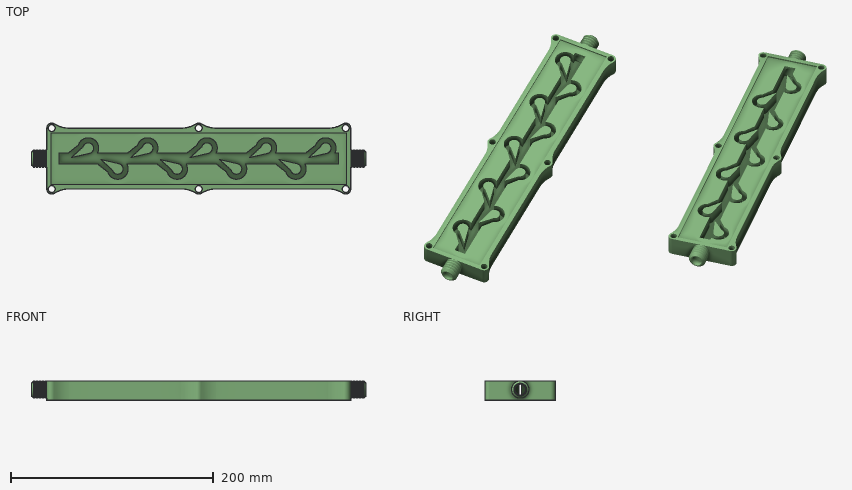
import cadquery as cq
import math

total_length = 330.0
body_length = 299.5
body_width = 60.0
body_height = 19.0

boss_radius = 5.0
hole_diameter = 6.5
boss_blend_length = 17.0
boss_x = body_length / 2 - boss_radius
boss_y = body_width / 2

recess_length = 291.0
recess_width = 50.8
recess_depth = 1.5
recess_floor_z = body_height - recess_depth

channel_length = 275.2
channel_width = 11.2
channel_depth = 12.5
channel_floor_z = recess_floor_z - channel_depth
upper_loop_count = 5
lower_loop_count = 4
first_upper_x = -109.0
last_upper_x = 125.0
loop_pitch = (last_upper_x - first_upper_x) / (upper_loop_count - 1)
lower_loop_shift = 29.0
loop_centre_y = 10.2
loop_width = 5.0
loop_flank_start = 163
loop_flank_slope = 38
island_radius = 5.3
island_flank_start = 165
island_tip_reach = 16.5
island_tip_y = 1.0

port_z = 10.5
thread_radius = 8.5
thread_root_radius = 7.3
thread_pitch = 3.0
thread_count = 5
thread_crest_width = 1.0
port_tip_radius = 6.3
port_tip_length = 2.3
bore_radius = 5.3
port_overlap = 3.3


def box_from(z_bottom, length, width, height):
    return cq.Workplane("XY", origin=(0, 0, z_bottom)).rect(length, width).extrude(height)


def disc(x, y, z_bottom, radius, height):
    return cq.Workplane("XY", origin=(x, y, z_bottom)).circle(radius).extrude(height)


def flared_boss(x, side):
    """Round boss on one long edge, blended into the edge by a concave arc on each side."""
    blend_radius = (boss_blend_length**2 - boss_radius**2) / (2 * boss_radius)
    touch = boss_radius / (blend_radius + boss_radius)
    touch_dx = boss_blend_length * touch
    touch_dy = blend_radius * touch
    slope_angle = math.atan2(blend_radius, boss_blend_length)
    mid_angle = (slope_angle + math.pi / 2) / 2
    mid_dx = boss_blend_length - blend_radius * math.cos(mid_angle)
    mid_dy = blend_radius * (1 - math.sin(mid_angle))

    def point(dx, dy):
        return (x + dx, side * (boss_y + dy))

    outline = (
        cq.Workplane("XY")
        .moveTo(*point(-boss_blend_length, 0))
        .threePointArc(point(-mid_dx, mid_dy), point(-touch_dx, touch_dy))
        .threePointArc(point(0, boss_radius), point(touch_dx, touch_dy))
        .threePointArc(point(mid_dx, mid_dy), point(boss_blend_length, 0))
        .lineTo(*point(boss_blend_length, -boss_radius))
        .lineTo(*point(-boss_blend_length, -boss_radius))
        .close()
    )
    return outline.extrude(body_height)


def make_body():
    body = box_from(0, body_length, body_width, body_height)
    for side in (-1, 1):
        for x in (-boss_x, 0, boss_x):
            body = body.union(flared_boss(x, side))
    full_width = body_width + 2 * boss_radius
    envelope = box_from(0, body_length, full_width, body_height).edges("|Z").fillet(boss_radius)
    return body.intersect(envelope)


def loop_point(x, side, dx, dy):
    """Point given from a loop's centre; dy counts away from the channel's middle line."""
    return (x + dx, side * (loop_centre_y + dy))


def loop_disc(x, side, radius):
    return disc(x, side * loop_centre_y, channel_floor_z, radius, channel_depth)


def channel_prism(points):
    outline = cq.Workplane("XY", origin=(0, 0, channel_floor_z)).polyline(points).close()
    return outline.extrude(channel_depth)


def make_loop(x, side):
    """Round pocket with a straight outer flank that slopes down into the main channel."""
    radius = island_radius + loop_width
    start_angle = math.radians(loop_flank_start)
    start_dx = radius * math.cos(start_angle)
    start_dy = radius * math.sin(start_angle)
    drop = start_dy + loop_centre_y - channel_width / 2
    end_dx = start_dx - drop / math.tan(math.radians(loop_flank_slope))
    tail = channel_prism([
        loop_point(x, side, start_dx, start_dy),
        loop_point(x, side, end_dx, start_dy - drop),
        loop_point(x, side, 0, start_dy - drop),
        loop_point(x, side, 0, start_dy),
    ])
    return tail.union(loop_disc(x, side, radius))


def make_island(x, side):
    """Teardrop: a round end, an inner flank touching it and a steeper outer flank, meeting in a point."""
    tip_dx = -island_tip_reach
    tip_dy = island_tip_y - loop_centre_y
    tip_angle = math.atan2(tip_dy, tip_dx)
    inner_angle = tip_angle + math.acos(island_radius / math.hypot(tip_dx, tip_dy))
    outer_angle = math.radians(island_flank_start)
    outer_end, inner_end = [
        loop_point(x, side, island_radius * math.cos(angle), island_radius * math.sin(angle))
        for angle in (outer_angle, inner_angle)
    ]
    tip = loop_point(x, side, tip_dx, tip_dy)
    centre = loop_point(x, side, 0, 0)
    tail = channel_prism([tip, outer_end, centre, inner_end])
    return tail.union(loop_disc(x, side, island_radius))


def make_channel():
    channel = box_from(channel_floor_z, channel_length, channel_width, channel_depth)
    rows = [(1, upper_loop_count, first_upper_x), (-1, lower_loop_count, first_upper_x + lower_loop_shift)]
    places = [(first_x + index * loop_pitch, side) for side, count, first_x in rows for index in range(count)]
    for x, side in places:
        channel = channel.union(make_loop(x, side))
    for x, side in places:
        channel = channel.cut(make_island(x, side))
    return channel


def make_port():
    """Ringed spigot on the +X end, turned about the port axis."""
    inner_x = body_length / 2 - port_overlap
    tip_x = total_length / 2
    first_x = tip_x - port_tip_length
    profile = cq.Workplane("XZ", origin=(0, 0, port_z)).moveTo(inner_x, 0)
    profile = profile.lineTo(tip_x, 0).lineTo(tip_x, port_tip_radius)
    for index in range(thread_count):
        crest_x = first_x - index * thread_pitch
        crest_end = crest_x - thread_crest_width
        root_x = crest_end - (thread_pitch - thread_crest_width) / 2
        profile = profile.lineTo(crest_x, thread_radius).lineTo(crest_end, thread_radius)
        profile = profile.lineTo(root_x, thread_root_radius)
    profile = profile.lineTo(inner_x, thread_root_radius).close()
    return profile.revolve(360, (0, 0, 0), (1, 0, 0))


def make_bore():
    """Bore of the +X port, from inside the channel out through the tip."""
    start_x = channel_length / 2 - port_overlap
    bore = cq.Workplane("YZ", origin=(start_x, 0, port_z)).circle(bore_radius)
    return bore.extrude(total_length / 2 - start_x)


port = make_port()
bore = make_bore()
recess = box_from(recess_floor_z, recess_length, recess_width, recess_depth)

result = make_body().union(port).union(port.mirror("YZ"))
result = result.cut(recess).cut(make_channel()).cut(bore).cut(bore.mirror("YZ"))
for side in (-1, 1):
    for x in (-boss_x, 0, boss_x):
        result = result.cut(disc(x, side * boss_y, 0, hole_diameter / 2, body_height))